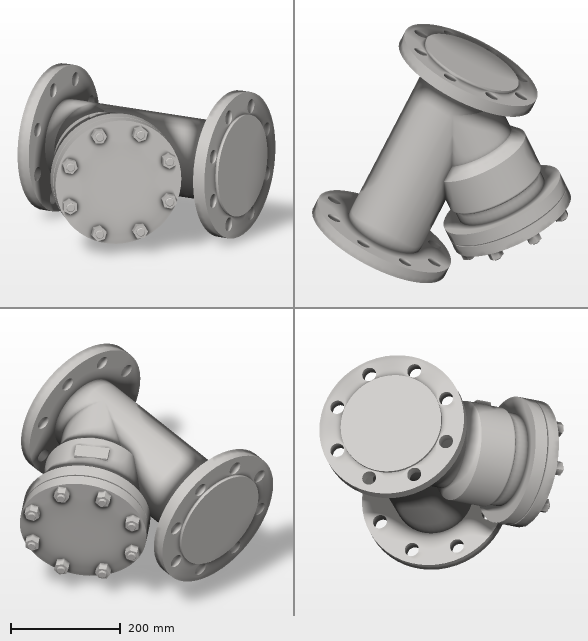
import cadquery as cq
import math

overall_length = 400.0
pipe_radius = 73.0
flange_diameter = 270.0
flange_thickness = 23.5
raised_face_height = 6.0
raised_face_radius = 94.0
flange_hole_diameter = 26.0
flange_hole_circle_radius = 110.0
bolt_count = 8
bolt_step = 360 / bolt_count

branch_angle = 50.0
branch_start_x = -117.5
cone_start = 97.5
cone_end = 118.5
body_end = 192.0
neck_end = 216.5
branch_flange_end = 241.0
cover_start = 244.0
cover_end = 264.5
body_radius = 92.0
neck_radius = 86.0
body_end_taper = 30.0
body_end_fillet = 5.0
body_taper_length = (body_radius - neck_radius) * math.tan(math.radians(body_end_taper))
branch_flange_radius = 117.0
gasket_radius = 67.5

pad_length = 61.5
pad_width = 28.0
pad_start = 141.5
pad_top_height = 93.0

stud_circle_radius = 99.8
stud_radius = 8.0
stud_projection = 19.0
stud_chamfer = 1.3
nut_across_flats = 24.0
nut_sides = 6
nut_height = 15.5
nut_corner_diameter = nut_across_flats / math.cos(math.pi / nut_sides)


def branch_plane(station):
    """Plane across the branch axis: local X lies in the XY plane, local Y is +Z."""
    angle = math.radians(branch_angle)
    direction = cq.Vector(math.cos(angle), -math.sin(angle), 0)
    across = cq.Vector(math.sin(angle), math.cos(angle), 0)
    origin = cq.Vector(branch_start_x, 0, 0) + direction * station
    return cq.Plane(origin=origin, xDir=across, normal=direction)


def branch_disc(radius, start, end):
    return cq.Workplane(branch_plane(start)).circle(radius).extrude(end - start)


def branch_cone(start_radius, end_radius, start, end):
    return (
        cq.Workplane(branch_plane(start))
        .circle(start_radius)
        .workplane(offset=end - start)
        .circle(end_radius)
        .loft()
    )


def outer_end(solid):
    """Select the face of a branch solid that lies farthest along the branch axis."""
    return solid.faces(cq.selectors.DirectionMinMaxSelector(branch_plane(0).zDir))


def bolt_angles():
    """Bolt positions straddling the centre lines, in degrees."""
    return [bolt_step * (index + 0.5) for index in range(bolt_count)]


def main_pipe():
    return cq.Workplane("YZ").circle(pipe_radius).extrude(overall_length / 2, both=True)


def end_flange():
    """Flange at the +X end with its raised face and bolt holes."""
    face_x = overall_length / 2
    back_x = face_x - raised_face_height - flange_thickness
    plate = (
        cq.Workplane("YZ", origin=(back_x, 0, 0))
        .circle(flange_diameter / 2)
        .extrude(flange_thickness)
    )
    holes = (
        cq.Workplane("YZ", origin=(back_x, 0, 0))
        .polarArray(flange_hole_circle_radius, bolt_step / 2, 360, bolt_count)
        .circle(flange_hole_diameter / 2)
        .extrude(flange_thickness)
    )
    raised_face = (
        cq.Workplane("YZ", origin=(face_x - raised_face_height, 0, 0))
        .circle(raised_face_radius)
        .extrude(raised_face_height)
    )
    return plate.cut(holes).union(raised_face)


def branch_body():
    """Inlet off the pipe, widening cone, body with a tapered and rounded end, and flange neck."""
    taper_start = body_end - body_taper_length
    shoulder = cq.selectors.NearestToPointSelector(branch_plane(taper_start).origin.toTuple())
    inlet = branch_disc(pipe_radius, 0, cone_start)
    cone = branch_cone(pipe_radius, body_radius, cone_start, cone_end)
    body = branch_disc(body_radius, cone_end, taper_start)
    taper = branch_cone(body_radius, neck_radius, taper_start, body_end)
    rounded_body = body.union(taper).edges(shoulder).fillet(body_end_fillet)
    neck = branch_disc(neck_radius, body_end, neck_end)
    return inlet.union(cone).union(rounded_body).union(neck)


def name_pad():
    """Flat-topped rectangular pad rising out of the body."""
    return (
        cq.Workplane(branch_plane(pad_start))
        .center(0, pad_top_height / 2)
        .rect(pad_length, pad_top_height)
        .extrude(pad_width)
    )


def bolted_cover():
    """Branch flange, recessed gasket and blind cover."""
    flange = branch_disc(branch_flange_radius, neck_end, branch_flange_end)
    gasket = branch_disc(gasket_radius, branch_flange_end, cover_start)
    cover = branch_disc(branch_flange_radius, cover_start, cover_end)
    return flange.union(gasket).union(cover)


def stud_and_nut(angle):
    """One nut and stud end; the nut turns with its place on the circle."""
    seed_angle = 90 + bolt_step / 2
    seat = (
        cq.Workplane(branch_plane(cover_end))
        .transformed(rotate=(0, 0, angle - seed_angle))
        .transformed(
            offset=(
                stud_circle_radius * math.cos(math.radians(seed_angle)),
                stud_circle_radius * math.sin(math.radians(seed_angle)),
                0,
            )
        )
    )
    nut = seat.polygon(nut_sides, nut_corner_diameter).extrude(nut_height)
    stud = seat.circle(stud_radius).extrude(stud_projection)
    stud = outer_end(stud).chamfer(stud_chamfer)
    return nut.union(stud)


flange = end_flange()
result = main_pipe().union(flange).union(flange.mirror("YZ"))
result = result.union(branch_body()).union(name_pad()).union(bolted_cover())
for bolt_angle in bolt_angles():
    result = result.union(stud_and_nut(bolt_angle))